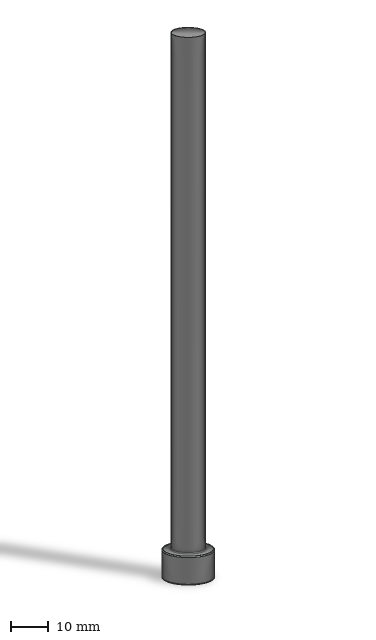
import cadquery as cq

total_length = 150.0
shank_diameter = 9.0
head_diameter = 14.0
head_height = 8.0
rim_chamfer = 0.3
neck_fillet = 0.3

head = cq.Workplane("XY").circle(head_diameter / 2).extrude(head_height)
head = head.edges().chamfer(rim_chamfer)

shank = cq.Workplane("XY").circle(shank_diameter / 2).extrude(total_length)

pin = head.union(shank)
shoulder = cq.selectors.NearestToPointSelector((0, 0, head_height))
inner_edge = cq.selectors.RadiusNthSelector(0)
result = pin.faces(shoulder).edges(inner_edge).fillet(neck_fillet)